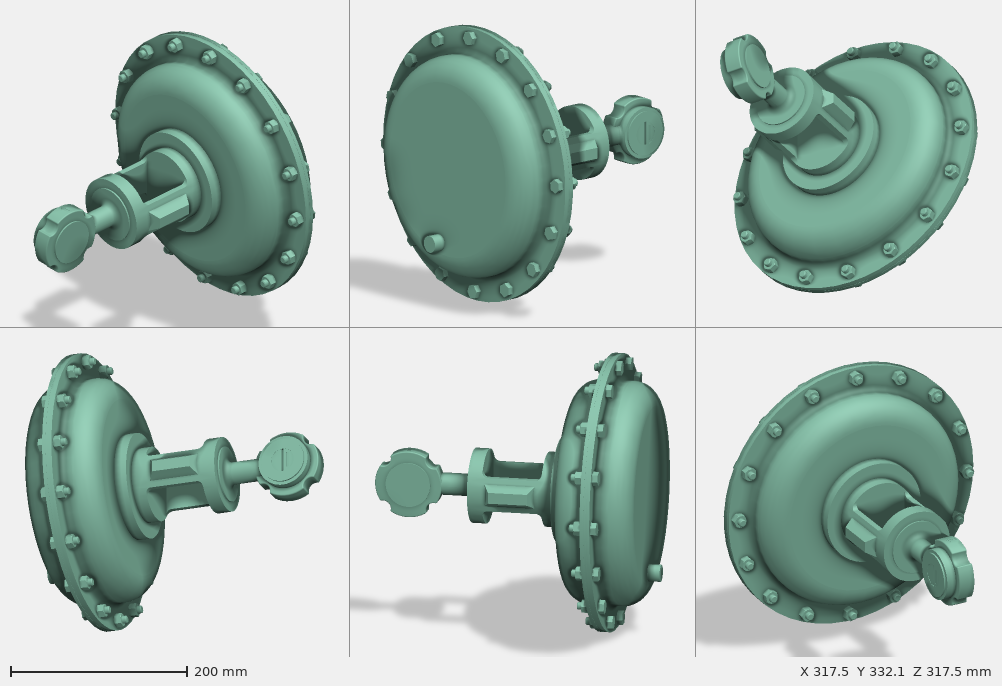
import cadquery as cq
import math


flange_radius = 158.75
flange_thickness = 11.3
diaphragm_thickness = 3.0
diaphragm_inset = 0.3
diaphragm_radius = flange_radius - diaphragm_inset

dome_radius = 128.3
dome_height = 45.5
dome_round = 27.0
flange_blend = 6.35

port_radius = 9.75
port_length = 14.25
port_x = 15.0
port_z = -87.75

bolt_count = 16
bolt_circle_radius = 147.65
bolt_start_angle = 88.54
bolt_radius = 4.4
bolt_chamfer = 0.9
bolt_tip_length = 5.4
hex_corner_diameter = 16.4
head_height = 6.75
nut_height = 8.6
nut_chamfer = 1.0
nut_turn = 6.0
head_turn = nut_turn + 360 / 12

hub_radius = 60.6
hub_length = 14.25
yoke_radius = 42.75
yoke_length = 100.0
boss_radius = 31.7
boss_height = 1.9
window_start = 15.0
window_length = 68.5
window_half_width = 31.4
window_end_half_width = 27.9
window_taper_length = 7.25
arm_half_height = 19.6
arm_blend = 6.35

pad_tip_x = 52.7
pad_root_x = 39.0
pad_surface_x = 41.0
pad_tip_length = 45.3
pad_tip_height = 12.7
pad_side_flare = 6.2
pad_slope = pad_side_flare / (pad_tip_x - pad_surface_x)
pad_center_depth = 35.9

stem_radius = 12.75
stem_blend = 6.35
knob_center_depth = 74.05
grip_radius = 38.56
grip_start_x = -6.75
grip_end_x = 12.85
knob_body_radius = 29.6
knob_body_start_x = -17.75
lip_radius = 25.7
lip_height = 2.0
notch_count = 4
notch_radius = 9.3
notch_depth = 6.0
notch_corner_round = 1.5
grip_edge_round = 1.4
stem_root_round = 2.5

dial_radius = 13.6
dial_depth = 0.3
slot_width = 2.9
slot_depth = 3.0
bar_width = 3.0
bar_length = 17.5
bar_offset = 6.0
bar_depth = 0.4
arrow_length = 12.8
arrow_shaft_length = 8.5
arrow_shaft_width = 4.0
arrow_head_width = 11.0
arrow_tip_x = -3.2
arrow_depth = 0.5

diagonal = math.sqrt(0.5)

pick_margin = 0.5

flange_half = flange_thickness / 2
hub_face_y = -(dome_height + hub_length)
yoke_face_y = hub_face_y - yoke_length
boss_face_y = yoke_face_y - boss_height
window_top_y = hub_face_y - window_start
window_bottom_y = window_top_y - window_length
pad_center_y = window_top_y - pad_center_depth
knob_center_y = yoke_face_y - knob_center_depth
stem_blend_end_y = boss_face_y - stem_blend


def rod(radius, y_start, y_end, x=0.0, z=0.0):
    """Cylinder parallel to Y between two Y positions."""
    length = abs(y_end - y_start)
    return (
        cq.Workplane("XZ", origin=(x, max(y_start, y_end), z))
        .circle(radius)
        .extrude(length)
    )


def knob_disc(radius, x_start, x_end):
    """Cylinder on the knob axis between two X positions."""
    return (
        cq.Workplane("YZ", origin=(x_start, knob_center_y, 0))
        .circle(radius)
        .extrude(x_end - x_start)
    )


def make_half_housing():
    """Dome and flange plate on the +Y side, revolved about Y."""
    plate_inner_y = diaphragm_thickness / 2
    crown_radius = dome_radius - dome_round
    crown_y = dome_height - dome_round
    blend_x = dome_radius + flange_blend
    blend_y = flange_half + flange_blend
    return (
        cq.Workplane("XY")
        .lineTo(diaphragm_radius, 0)
        .lineTo(diaphragm_radius, plate_inner_y)
        .lineTo(flange_radius, plate_inner_y)
        .lineTo(flange_radius, flange_half)
        .lineTo(blend_x, flange_half)
        .threePointArc(
            (blend_x - flange_blend * diagonal, blend_y - flange_blend * diagonal),
            (dome_radius, blend_y),
        )
        .lineTo(dome_radius, crown_y)
        .threePointArc(
            (crown_radius + dome_round * diagonal, crown_y + dome_round * diagonal),
            (crown_radius, dome_height),
        )
        .lineTo(0, dome_height)
        .close()
        .revolve(360, (0, 0, 0), (0, 1, 0))
    )


def make_housing():
    """Both dome halves and the air connection."""
    half = make_half_housing()
    port = rod(port_radius, 0, dome_height + port_length, port_x, port_z)
    return half.union(half.mirror("XZ")).union(port)


def make_nut():
    """Hex nut against the -Y flange face, corners rounded off by cones at both ends."""
    hexagon = (
        cq.Workplane("XZ", origin=(0, -flange_half, 0))
        .polygon(6, hex_corner_diameter)
        .extrude(nut_height)
        .rotate((0, 0, 0), (0, 1, 0), nut_turn)
    )
    envelope = rod(hex_corner_diameter / 2, -flange_half, -flange_half - nut_height)
    envelope = envelope.faces("<Y or >Y").chamfer(nut_chamfer)
    return hexagon.intersect(envelope)


def make_bolt():
    """Head behind the flange, nut and chamfered tip in front, on the Y axis."""
    tip_y = -(flange_half + nut_height + bolt_tip_length)
    shank = rod(bolt_radius, 0, tip_y).faces("<Y").chamfer(bolt_chamfer)
    head = (
        cq.Workplane("XZ", origin=(0, flange_half + head_height, 0))
        .polygon(6, hex_corner_diameter)
        .extrude(head_height)
        .rotate((0, 0, 0), (0, 1, 0), head_turn)
    )
    return shank, head, make_nut()


def add_bolts(body):
    pieces = make_bolt()
    for index in range(bolt_count):
        turn = -(bolt_start_angle + index * 360 / bolt_count)
        for piece in pieces:
            placed = piece.translate((bolt_circle_radius, 0, 0))
            body = body.union(placed.rotate((0, 0, 0), (0, 1, 0), turn))
    return body


def make_window():
    """Opening through Z whose side walls curve inward at the stem end."""
    narrowing = window_half_width - window_end_half_width
    half_window = (
        cq.Workplane("XY", origin=(0, 0, -yoke_radius))
        .moveTo(0, window_top_y)
        .lineTo(window_half_width, window_top_y)
        .lineTo(window_half_width, window_bottom_y + window_taper_length)
        .tangentArcPoint((-narrowing, -window_taper_length))
        .lineTo(0, window_bottom_y)
        .close()
        .extrude(2 * yoke_radius)
    )
    return half_window.union(half_window.mirror("YZ"))


def make_arm_relief():
    """Space beyond one Z side of the yoke arms, with blended corners."""
    middle_y = (window_top_y + window_bottom_y) / 2
    return (
        cq.Workplane("XY", origin=(0, middle_y, arm_half_height))
        .rect(2 * yoke_radius, window_length)
        .extrude(yoke_radius)
        .edges("|X and <Z")
        .fillet(arm_blend)
    )


def make_pad():
    """Tapered pad on the +X arm."""
    root_growth = 2 * pad_slope * (pad_tip_x - pad_root_x)
    return (
        cq.Workplane("YZ", origin=(pad_root_x, pad_center_y, 0))
        .rect(pad_tip_length + root_growth, pad_tip_height + root_growth)
        .workplane(offset=pad_tip_x - pad_root_x)
        .rect(pad_tip_length, pad_tip_height)
        .loft()
    )


def make_yoke():
    """Hub, windowed barrel with its two arms and pads, and end boss."""
    hub = rod(hub_radius, 0, hub_face_y)
    barrel = rod(yoke_radius, 0, yoke_face_y)
    relief = make_arm_relief()
    barrel = barrel.cut(make_window()).cut(relief).cut(relief.mirror("XY"))
    pad = make_pad()
    boss = rod(boss_radius, window_bottom_y, boss_face_y)
    return hub.union(barrel).union(pad).union(pad.mirror("YZ")).union(boss)


def make_stem():
    """Stem with a trumpet-shaped blend where it leaves the boss."""
    root_radius = stem_radius + stem_blend
    return (
        cq.Workplane("XY")
        .moveTo(0, boss_face_y)
        .lineTo(root_radius, boss_face_y)
        .threePointArc(
            (root_radius - stem_blend * diagonal, stem_blend_end_y + stem_blend * diagonal),
            (stem_radius, stem_blend_end_y),
        )
        .lineTo(stem_radius, knob_center_y)
        .lineTo(0, knob_center_y)
        .close()
        .revolve(360, (0, 0, 0), (0, 1, 0))
    )


def make_grip():
    """Round grip with finger notches between its lobes and all outer edges rounded."""
    notch_distance = grip_radius - notch_depth + notch_radius
    grip_length = grip_end_x - grip_start_x
    grip = cq.Workplane("YZ", origin=(grip_start_x, 0, 0)).circle(grip_radius).extrude(grip_length)
    for index in range(notch_count):
        angle = math.radians((index + 0.5) * 360 / notch_count)
        notch_y = notch_distance * math.cos(angle)
        notch_z = notch_distance * math.sin(angle)
        cutter = (
            cq.Workplane("YZ", origin=(grip_start_x, notch_y, notch_z))
            .circle(notch_radius)
            .extrude(grip_length)
        )
        grip = grip.cut(cutter)
    corner_reach = grip_radius - pick_margin
    corners = cq.selectors.BoxSelector(
        (grip_start_x, -corner_reach, -corner_reach), (grip_end_x, corner_reach, corner_reach)
    )
    grip = grip.edges("|X").edges(corners).fillet(notch_corner_round)
    grip = grip.faces("<X or >X").edges().fillet(grip_edge_round)
    return grip.translate((0, knob_center_y, 0))


def make_arrow():
    """Shallow arrow on top of the grip, pointing toward -X."""
    neck_x = arrow_tip_x + arrow_length - arrow_shaft_length
    tail_x = arrow_tip_x + arrow_length
    half_shaft = arrow_shaft_width / 2
    half_head = arrow_head_width / 2
    floor_z = grip_radius - arrow_depth
    return (
        cq.Workplane("XY", origin=(0, knob_center_y, floor_z))
        .moveTo(arrow_tip_x, 0)
        .lineTo(neck_x, half_head)
        .lineTo(neck_x, half_shaft)
        .lineTo(tail_x, half_shaft)
        .lineTo(tail_x, -half_shaft)
        .lineTo(neck_x, -half_shaft)
        .lineTo(neck_x, -half_head)
        .close()
        .extrude(2 * arrow_depth)
    )


def make_dial():
    """Recess in the -X knob face, with a screwdriver slot and a marker bar."""
    face_x = knob_body_start_x - lip_height
    dial_floor_x = face_x + dial_depth
    recess = knob_disc(dial_radius, face_x, dial_floor_x)
    slot = (
        cq.Workplane("YZ", origin=(face_x, knob_center_y, 0))
        .rect(slot_width, 2 * dial_radius)
        .extrude(dial_depth + slot_depth)
        .intersect(knob_disc(dial_radius, face_x, 0))
    )
    bar = (
        cq.Workplane("YZ", origin=(face_x, knob_center_y - bar_offset, 0))
        .rect(bar_width, bar_length)
        .extrude(dial_depth + bar_depth)
    )
    return recess.union(slot).union(bar)


def make_knob_body():
    """Plain disc on the -X side of the grip, blended into the stem.

    The blend is made on a disc that extends to both sides, and the -X half is kept.
    """
    disc = knob_disc(knob_body_radius, knob_body_start_x, -knob_body_start_x)
    stub = rod(stem_radius, knob_center_y, stem_blend_end_y)
    seam_far_y = knob_center_y + knob_body_radius
    seam_near_y = knob_center_y + math.sqrt(knob_body_radius**2 - stem_radius**2)
    seam_reach = stem_radius + pick_margin
    seam_region = cq.selectors.BoxSelector(
        (-seam_reach, seam_near_y - pick_margin, -seam_reach),
        (seam_reach, seam_far_y + pick_margin, seam_reach),
    )
    blended = disc.union(stub).edges(seam_region).fillet(stem_root_round)
    near_half = cq.Workplane("YZ", origin=(0, knob_center_y, 0)).circle(2 * grip_radius)
    return blended.intersect(near_half.extrude(knob_body_start_x))


def make_knob():
    """Grip, blended body disc and face lips, with the markings cut in."""
    body = make_knob_body()
    lips = knob_disc(lip_radius, knob_body_start_x - lip_height, grip_end_x + lip_height)
    return make_grip().union(body).union(lips).cut(make_arrow()).cut(make_dial())


result = add_bolts(make_housing())
result = result.union(make_yoke()).union(make_stem()).union(make_knob())